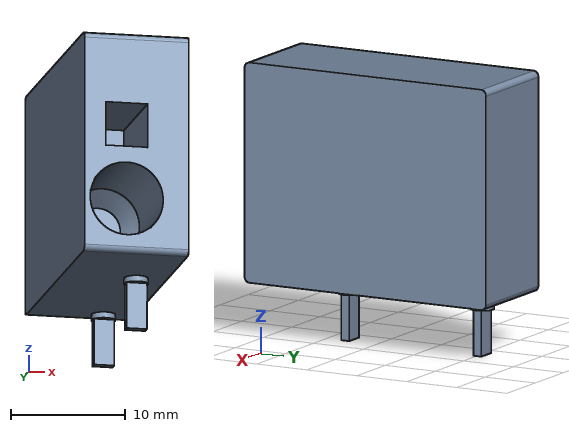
import cadquery as cq

housing_width = 9.3
housing_length = 24.15
housing_height = 19.6
edge_radius = 0.5

opening_x = 3.75
entry_z = 4.8
entry_mouth_diameter = 6.5
entry_floor_diameter = 4.0
entry_bore_depth = 9.68
entry_cone_depth = 2.0
slot_width = 3.73
slot_height = 3.9
slot_z = 11.42
slot_depth = 9.68

pin_x = 6.55
front_pin_y = 9.03
pin_spacing = 13.21
pin_count = 2
collar_diameter = 2.1
collar_height = 0.5
blade_width = 1.8
blade_thickness = 0.8
pin_length = 24.2 - housing_height


def make_wire_entry():
    """Straight bore that ends in a cone with a flat floor."""
    along_bore = cq.Vector(0, 1, 0)
    mouth_center = cq.Vector(opening_x, 0, entry_z)
    bore_end = mouth_center + along_bore * entry_bore_depth
    bore = cq.Solid.makeCylinder(entry_mouth_diameter / 2, entry_bore_depth, mouth_center, along_bore)
    cone = cq.Solid.makeCone(
        entry_mouth_diameter / 2, entry_floor_diameter / 2, entry_cone_depth, bore_end, along_bore
    )
    return cq.Workplane(obj=bore).union(cq.Workplane(obj=cone))


def make_release_slot():
    """Rectangular pocket above the wire entry."""
    slot = cq.Workplane().box(slot_width, slot_depth, slot_height, centered=(True, False, True))
    return slot.translate((opening_x, 0, slot_z))


def make_housing():
    """Block with rounded edges along X and its two front openings."""
    block = cq.Workplane().box(housing_width, housing_length, housing_height, centered=False)
    block = block.edges("|X").fillet(edge_radius)
    return block.cut(make_wire_entry()).cut(make_release_slot())


def make_pin(pin_y):
    """Flat blade under a round collar that seats against the housing bottom."""
    collar = cq.Workplane().circle(collar_diameter / 2).extrude(-collar_height)
    blade = cq.Workplane().rect(blade_width, blade_thickness).extrude(-pin_length)
    return collar.union(blade).translate((pin_x, pin_y, 0))


housing = make_housing()
pins = [make_pin(front_pin_y + index * pin_spacing) for index in range(pin_count)]

result = cq.Compound.makeCompound([housing.val(), *[pin.val() for pin in pins]])